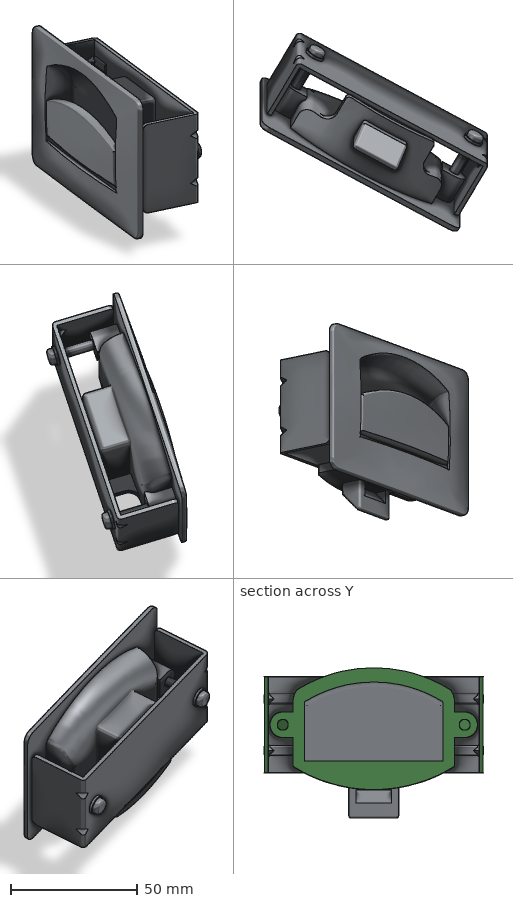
import cadquery as cq
import math


plate_width = 90.0
plate_height = 59.9
plate_corner = 4.0
rim_thickness = 2.1
rim_round = 0.8
crown_rise = 3.9
crown_samples = 9
front_clearance = 9.0

opening_half_width = 29.5
opening_top = 25.5
opening_bottom = -14.3
opening_radius = 60.0
opening_corner = 1.8
cup_depth = 11.2
cup_back_wall = 3.4
cup_top_round = 10.35
cup_top_wall = 0.45
cup_side_wall = 2.6
cup_inner_side_round = 3.15
cup_outer_side_round = 4.5
cup_outer_corner = 3.6
cup_outer_top_round = 11.7
arch_center = opening_top - opening_radius

paddle_top = 9.9
paddle_top_radius = 68.4
paddle_round = 1.1
paddle_bevel = 1.5
paddle_back = -1.8
paddle_side_groove = 0.6
paddle_bottom_groove = 1.35
paddle_groove_floor = -2.9

case_bottom = -25.7
case_bottom_radius = 60.0
tray_thickness = 3.2
tray_half_width = 20.0
tray_back = 24.75
tray_corner = 1.7
tray_flare = 4.9
case_half_width = 13.05
case_top = 15.1
case_back = 23.3
case_round = 1.9
case_root_round = 0.6

bolt_half_width = 9.9
bolt_front = 10.8
bolt_back = 20.1
bolt_tip = -37.0
bolt_tip_width = 1.7
bolt_round = 1.1
bolt_tip_round = 0.7
bolt_recess_half_width = 6.9
bolt_recess_floor = -31.0

screw_offset = 36.0
screw_diameter = 4.05
screw_engagement = 7.2
screw_flange_diameter = 7.7
screw_flange_thickness = 1.1
screw_head_diameter = 6.7
screw_head_height = 3.6
screw_head_round = 1.2
boss_radius = 5.1

bracket_half_width = 43.4
bracket_half_height = 19.1
bracket_thickness = 1.7
bracket_front = 0.9
bracket_back = 26.1
bracket_bend = 1.6
bracket_corner = 2.3
gusset_height = 10.3
gusset_half_width = 2.4
gusset_on_back = 2.8
gusset_on_leg = 3.9
rib_inner_end = 31.6
rib_outer_end = 41.0
rib_height = 4.0
rib_depth = 0.8
rib_round = 0.7


def box(x_min, x_max, y_min, y_max, z_min, z_max):
    size = (x_max - x_min, y_max - y_min, z_max - z_min)
    return cq.Workplane().box(*size, centered=False).translate((x_min, y_min, z_min))


def disc(radius, center_z, y_min, y_max):
    """Cylinder along Y with its axis on X = 0."""
    return (
        cq.Workplane("XZ", origin=(0, y_max, center_z)).circle(radius).extrude(y_max - y_min)
    )


def crown_y(x, z):
    """Front of the plate: flat along the four sides and proudest at the centre."""
    fall_x = 1 - (2 * x / plate_width) ** 2
    fall_z = 1 - (2 * z / plate_height) ** 2
    return -rim_thickness - crown_rise * fall_x * fall_z


def space_in_front():
    """Everything in front of the crowned surface."""
    steps = [2 * i / (crown_samples - 1) - 1 for i in range(crown_samples)]
    grid = []
    for u in steps:
        x = u * plate_width / 2
        heights = [v * plate_height / 2 for v in steps]
        grid.append([cq.Vector(x, crown_y(x, z), z) for z in heights])
    crown = cq.Face.makeSplineApprox(grid, tol=1e-3, minDeg=2, maxDeg=3)
    return cq.Workplane(cq.Solid.extrudeLinear(crown, cq.Vector(0, -front_clearance, 0)))


def face_plate():
    half_width = plate_width / 2
    half_height = plate_height / 2
    blank = box(-half_width, half_width, -front_clearance, 0, -half_height, half_height)
    blank = blank.edges("|Y").fillet(plate_corner)
    plate = blank.cut(space_in_front())
    return plate.faces("<Y").edges().fillet(rim_round)


def arched_block(half_width, radius, y_min, y_max, z_min, top_round, side_round, corner):
    """Block with an arched top, rounded at the back and along both upper corners."""
    dome = (
        cq.Workplane("XY", origin=(0, 0, arch_center))
        .moveTo(0, y_min)
        .lineTo(radius, y_min)
        .lineTo(radius, y_max - top_round)
        .radiusArc((radius - top_round, y_max), -top_round)
        .lineTo(0, y_max)
        .close()
        .revolve(360, (0, 0, 0), (0, 1, 0))
    )
    sides = box(-half_width, half_width, y_min, y_max, z_min, opening_top + radius)
    sides = sides.edges("|Z and >Y").fillet(side_round)
    block = sides.intersect(dome)
    meeting_height = arch_center + math.sqrt(radius**2 - half_width**2)
    zone_start = (-half_width - corner, y_min - corner, meeting_height - corner)
    zone_end = (half_width + corner, y_max, meeting_height + corner)
    corners = block.edges(cq.selectors.BoxSelector(zone_start, zone_end))
    return corners.edges("not |X").fillet(corner)


def cup_shell():
    shell = arched_block(
        opening_half_width + cup_side_wall, opening_radius + cup_top_wall,
        -rim_thickness / 2, cup_depth, case_bottom,
        cup_outer_top_round, cup_outer_side_round, cup_outer_corner,
    )
    arc_center = case_bottom + case_bottom_radius
    return shell.intersect(disc(case_bottom_radius, arc_center, -rim_thickness, cup_depth))


def cup_cavity():
    return arched_block(
        opening_half_width, opening_radius,
        -front_clearance, cup_depth - cup_back_wall, opening_bottom,
        cup_top_round, cup_inner_side_round, opening_corner,
    )


def paddle_block(half_width, bottom, y_min, y_max):
    """Block with the arched top edge of the paddle."""
    block = box(-half_width, half_width, y_min, y_max, bottom, opening_top)
    return block.intersect(disc(paddle_top_radius, paddle_top - paddle_top_radius, y_min, y_max))


def paddle():
    """Crowned pad, flush with the plate, on a web that closes the grooves around it."""
    web = paddle_block(opening_half_width, opening_bottom, paddle_groove_floor, paddle_back)
    pad = paddle_block(
        opening_half_width - paddle_side_groove,
        opening_bottom + paddle_bottom_groove,
        -front_clearance,
        paddle_back,
    )
    pad = pad.cut(space_in_front())
    pad = pad.faces("<Y").edges("<Z").chamfer(paddle_bevel)
    pad = pad.faces("<Y").edges("not <Z").fillet(paddle_round)
    return pad.union(web)


def latch_tray():
    """Curved tray that runs back from the cup, flared where it leaves it."""
    root = cup_depth - cup_back_wall / 2
    outline = (
        cq.Workplane("XY", origin=(0, 0, case_bottom))
        .moveTo(-tray_half_width - tray_flare, root)
        .lineTo(-tray_half_width - tray_flare, cup_depth)
        .radiusArc((-tray_half_width, cup_depth + tray_flare), -tray_flare)
        .lineTo(-tray_half_width, tray_back)
        .lineTo(tray_half_width, tray_back)
        .lineTo(tray_half_width, cup_depth + tray_flare)
        .radiusArc((tray_half_width + tray_flare, cup_depth), -tray_flare)
        .lineTo(tray_half_width + tray_flare, root)
        .close()
        .extrude(-case_bottom)
        .edges("|Z and >Y")
        .fillet(tray_corner)
    )
    center = case_bottom + case_bottom_radius
    outer = disc(case_bottom_radius, center, 0, tray_back)
    inner = disc(case_bottom_radius - tray_thickness, center, 0, tray_back)
    return outline.intersect(outer.cut(inner))


def latch_case():
    root = cup_depth - cup_back_wall / 2
    bottom = case_bottom + tray_thickness / 2
    case = box(-case_half_width, case_half_width, root, case_back, bottom, case_top)
    return case.edges("(>Z or (|Z and >Y)) and (not <Y)").fillet(case_round)


def bolt_nose():
    """Latch bolt with a 45 degree slope at the back of its tip."""
    slope = bolt_back - bolt_front - bolt_tip_width
    top = case_bottom + tray_thickness / 2
    nose = (
        cq.Workplane("YZ")
        .moveTo(bolt_front, top)
        .lineTo(bolt_front, bolt_tip)
        .lineTo(bolt_front + bolt_tip_width, bolt_tip)
        .lineTo(bolt_back, bolt_tip + slope)
        .lineTo(bolt_back, top)
        .close()
        .extrude(bolt_half_width, both=True)
    )
    nose = nose.edges("|X and <Z").fillet(bolt_tip_round)
    nose = nose.faces("|X").edges("not >Z").fillet(bolt_round)
    depth = case_bottom - bolt_recess_floor
    recess = (
        cq.Workplane("YZ")
        .moveTo(bolt_front, bolt_recess_floor)
        .lineTo(bolt_front + depth, case_bottom)
        .lineTo(bolt_front, case_bottom)
        .close()
        .extrude(bolt_recess_half_width, both=True)
    )
    return nose.cut(recess)


def screw_boss(side):
    x = side * screw_offset
    root = -rim_thickness / 2
    boss = cq.Workplane("XZ", origin=(x, cup_depth, 0)).circle(boss_radius).extrude(cup_depth - root)
    ends = sorted((x, side * (opening_half_width + cup_side_wall / 2)))
    web = box(*ends, root, cup_depth, -boss_radius, boss_radius)
    return boss.union(web)


def cup_with_case():
    """Cup shell and the case on its back, joined by a small round."""
    cup = cup_shell().union(latch_case())
    reach = case_half_width + case_root_round
    zone_start = (-reach, cup_depth - case_root_round, case_bottom / 2)
    zone_end = (reach, cup_depth + case_root_round / 2, case_top + case_root_round)
    return cup.edges(cq.selectors.BoxSelector(zone_start, zone_end)).fillet(case_root_round)


def make_housing():
    housing = face_plate().union(cup_with_case())
    for side in (-1, 1):
        housing = housing.union(screw_boss(side))
    housing = housing.union(latch_tray()).union(bolt_nose())
    housing = housing.cut(cup_cavity()).union(paddle())
    for side in (-1, 1):
        housing = housing.cut(make_screw(side))
    return housing


def corner_wedge(side, z):
    """Tetrahedron in the inner corner of the bracket, with its ridge across the corner."""
    x = side * (bracket_half_width - bracket_thickness)
    y = bracket_back - bracket_thickness
    on_back = cq.Vector(x - side * gusset_on_back, y, z)
    on_leg = cq.Vector(x, y - gusset_on_leg, z)
    above = cq.Vector(x, y, z + gusset_half_width)
    below = cq.Vector(x, y, z - gusset_half_width)
    triangles = [
        (on_back, on_leg, above), (on_leg, on_back, below),
        (above, below, on_back), (below, above, on_leg),
    ]
    faces = [cq.Face.makeFromWires(cq.Wire.makePolygon(t, close=True)) for t in triangles]
    return cq.Workplane(cq.Solid.makeSolid(cq.Shell.makeShell(faces)))


def bracket_rib(side, z):
    back = bracket_back - bracket_thickness
    ends = sorted((side * rib_inner_end, side * rib_outer_end))
    rib = box(*ends, back - rib_depth, back, z - rib_height / 2, z + rib_height / 2)
    return rib.edges("|X and <Y").fillet(rib_round)


def make_bracket():
    inside = bracket_half_width - bracket_thickness
    bracket = box(
        -bracket_half_width, bracket_half_width, bracket_front, bracket_back,
        -bracket_half_height, bracket_half_height,
    )
    bracket = bracket.edges("|Z and >Y").fillet(bracket_bend)
    bracket = bracket.edges("|X and <Y").fillet(bracket_corner)
    bracket = bracket.cut(
        box(
            -inside, inside, bracket_front, bracket_back - bracket_thickness,
            -bracket_half_height, bracket_half_height,
        )
    )
    for side in (-1, 1):
        for z in (-gusset_height, gusset_height):
            gusset = corner_wedge(side, z)
            dent = gusset.translate((side * bracket_thickness, bracket_thickness, 0))
            bracket = bracket.union(gusset).cut(dent).union(bracket_rib(side, z))
        bracket = bracket.cut(make_screw(side))
    return bracket


def make_screw(side):
    """Flanged pan head screw that ends inside its boss."""
    x = side * screw_offset
    tip = cup_depth - screw_engagement
    seat = cq.Workplane("XZ", origin=(x, bracket_back, 0))
    shank = seat.circle(screw_diameter / 2).extrude(bracket_back - tip)
    flange = seat.circle(screw_flange_diameter / 2).extrude(-screw_flange_thickness)
    head = seat.circle(screw_head_diameter / 2).extrude(-screw_head_height)
    head = head.faces(">Y").edges().fillet(screw_head_round)
    return shank.union(flange).union(head)


housing = make_housing().solids()
bracket = make_bracket().solids()
screws = [make_screw(side).solids() for side in (-1, 1)]

result = cq.Compound.makeCompound([housing.val(), bracket.val(), *[screw.val() for screw in screws]])